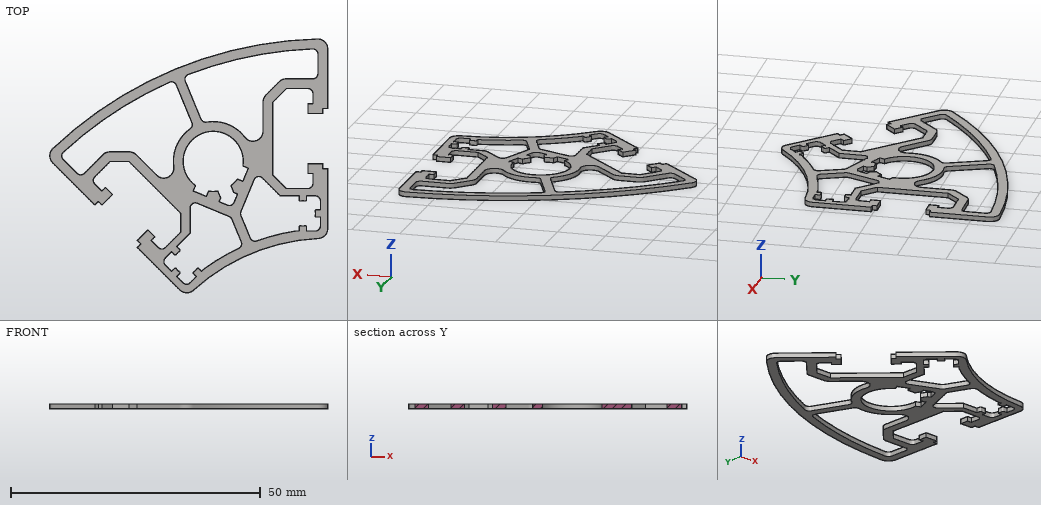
import cadquery as cq
import math


THICKNESS = 1.0

SECTOR_ANGLE = 45.0
INNER_RADIUS = 40.0
OUTER_RADIUS = 80.0
CORNER_RADIUS = 2.0
WALL = 2.0
CHAMBER_FILLET = 1.0
MID_RADIUS = (INNER_RADIUS + OUTER_RADIUS) / 2

SLOT_DEPTH = 11.0
SLOT_HALF_WIDTH = 10.0
SLOT_CHAMFER = 2.7
SLOT_CORNER_FILLET = 1.0
LIP_INNER_DEPTH = 4.0
LIP_ROOT_DEPTH = 3.0
LIP_ROOT_HALF_WIDTH = 7.0
MOUTH_HALF_WIDTH = 5.0
MOUTH_STEP = 1.0

BORE_RADIUS = 6.0
HUB_RADIUS = BORE_RADIUS + WALL
HUB_RELIEF_RADIUS = 2.0
GROOVE_HALF_WIDTH = 1.4
GROOVE_REACH = 7.0
POCKET_SIDE = 2 * GROOVE_HALF_WIDTH
POCKET_FILLET = 1.0

SPOKE_HALF_WIDTH = 1.0

SLOT_WALL_BEND_RADIUS = 2.0

INNER_CHAMBER_WALL = 1.5
INNER_CHAMBER_DIAGONAL_WALL = 1.93
HUB_TO_INNER_CHAMBER = GROOVE_REACH + WALL
SCREW_CHANNEL_RADIUS = 2.5
RIB_WIDTH = 1.5
RIB_LENGTH = 1.0
RIB_FILLET = 0.25

HALF_ANGLE = math.radians(SECTOR_ANGLE / 2)
AXIS = cq.Vector(-math.sin(HALF_ANGLE), math.cos(HALF_ANGLE))
ACROSS = cq.Vector(math.cos(HALF_ANGLE), math.sin(HALF_ANGLE))
HUB_CENTER = AXIS * MID_RADIUS
APEX = cq.Vector(0, 0, 0)
UP = cq.Vector(0, 0, 1)


def on_axis(distance, offset):
    """Point at a distance along the mirror axis and an offset across it."""
    return AXIS * distance + ACROSS * offset


def half_chord(radius, offset):
    """Half length of the chord that lies at this offset from the circle's centre."""
    return math.sqrt(radius**2 - offset**2)


def arc_middle(center, start, end):
    """Middle of the minor arc between two points of a circle."""
    radius = (start - center).Length
    return center + (start + end - center * 2).normalized() * radius


def fillet_corners(solid, corners, radius):
    """Round the upright edges that stand at the given corner points."""
    for corner in corners:
        edge_middle = (corner.x, corner.y, THICKNESS / 2)
        selector = cq.selectors.NearestToPointSelector(edge_middle)
        solid = solid.edges("|Z").edges(selector).fillet(radius)
    return solid


def with_mirror_image(solid):
    return solid.union(solid.mirror(ACROSS, APEX))


def ring_sector():
    outer_start = cq.Vector(0, OUTER_RADIUS)
    far_face = on_axis(math.cos(HALF_ANGLE), -math.sin(HALF_ANGLE))
    outer_end = far_face * OUTER_RADIUS
    inner_start = far_face * INNER_RADIUS
    inner_end = cq.Vector(0, INNER_RADIUS)
    sector = (
        cq.Workplane()
        .moveTo(outer_start.x, outer_start.y)
        .threePointArc(arc_middle(APEX, outer_start, outer_end), outer_end)
        .lineTo(inner_start.x, inner_start.y)
        .threePointArc(arc_middle(APEX, inner_start, inner_end), inner_end)
        .close()
        .extrude(THICKNESS)
    )
    return sector.edges("|Z").fillet(CORNER_RADIUS)


def t_slot():
    mouth_step_half_width = MOUTH_HALF_WIDTH + MOUTH_STEP
    upper_half = [
        (-SLOT_DEPTH, SLOT_HALF_WIDTH - SLOT_CHAMFER),
        (-SLOT_DEPTH + SLOT_CHAMFER, SLOT_HALF_WIDTH),
        (-LIP_ROOT_DEPTH, SLOT_HALF_WIDTH),
        (-LIP_ROOT_DEPTH, LIP_ROOT_HALF_WIDTH),
        (-LIP_INNER_DEPTH, LIP_ROOT_HALF_WIDTH),
        (-LIP_INNER_DEPTH, MOUTH_HALF_WIDTH),
        (-MOUTH_STEP, MOUTH_HALF_WIDTH),
        (-MOUTH_STEP, mouth_step_half_width),
        (0, mouth_step_half_width),
    ]
    lower_half = [(x, -y) for x, y in reversed(upper_half)]
    slot = (
        cq.Workplane(origin=(0, MID_RADIUS, 0))
        .polyline(upper_half + lower_half)
        .close()
        .extrude(THICKNESS)
    )
    corners = [
        cq.Vector(-LIP_ROOT_DEPTH, MID_RADIUS + side * SLOT_HALF_WIDTH) for side in (1, -1)
    ]
    return fillet_corners(slot, corners, SLOT_CORNER_FILLET)


def outer_chamber():
    arc_radius = OUTER_RADIUS - WALL
    rim_face = cq.Vector(-WALL, half_chord(arc_radius, WALL))
    rim_spoke = on_axis(half_chord(arc_radius, SPOKE_HALF_WIDTH), SPOKE_HALF_WIDTH)
    hub_spoke = on_axis(MID_RADIUS + half_chord(HUB_RADIUS, SPOKE_HALF_WIDTH), SPOKE_HALF_WIDTH)

    back_x = -SLOT_DEPTH - WALL
    relief_x = back_x - HUB_RELIEF_RADIUS
    relief_rise = half_chord(HUB_RADIUS + HUB_RELIEF_RADIUS, relief_x - HUB_CENTER.x)
    relief_center = cq.Vector(relief_x, HUB_CENTER.y + relief_rise)
    relief_start = HUB_CENTER + (relief_center - HUB_CENTER).normalized() * HUB_RADIUS
    relief_end = cq.Vector(back_x, relief_center.y)

    top_y = MID_RADIUS + SLOT_HALF_WIDTH + WALL
    bend = SLOT_CHAMFER + WALL * (2 - math.sqrt(2))
    bend_low = cq.Vector(back_x, top_y - bend)
    bend_high = cq.Vector(back_x + bend, top_y)
    foot = cq.Vector(-WALL, top_y)

    chamber = (
        cq.Workplane()
        .moveTo(rim_face.x, rim_face.y)
        .threePointArc(arc_middle(APEX, rim_face, rim_spoke), rim_spoke)
        .lineTo(hub_spoke.x, hub_spoke.y)
        .threePointArc(arc_middle(HUB_CENTER, hub_spoke, relief_start), relief_start)
        .threePointArc(arc_middle(relief_center, relief_start, relief_end), relief_end)
        .lineTo(bend_low.x, bend_low.y)
        .lineTo(bend_high.x, bend_high.y)
        .lineTo(foot.x, foot.y)
        .close()
        .extrude(THICKNESS)
    )
    chamber = fillet_corners(chamber, [rim_face, rim_spoke, hub_spoke, foot], CHAMBER_FILLET)
    return fillet_corners(chamber, [bend_low, bend_high], SLOT_WALL_BEND_RADIUS)


def screw_rib(center, angle):
    """Rib that points at the screw channel; its tip follows the channel's circle."""
    root = SCREW_CHANNEL_RADIUS + RIB_LENGTH
    rib = cq.Workplane().center(root / 2, 0).rect(root, RIB_WIDTH).extrude(THICKNESS)
    rib = rib.cut(cq.Workplane().circle(SCREW_CHANNEL_RADIUS).extrude(THICKNESS))
    rib = rib.edges("|Z and <X").fillet(RIB_FILLET)
    return rib.rotate(APEX, UP, angle).translate(center)


def inner_chamber():
    arc_radius = INNER_RADIUS + WALL
    face_x = -INNER_CHAMBER_WALL
    bottom_y = INNER_RADIUS + INNER_CHAMBER_WALL
    top_y = MID_RADIUS - SLOT_HALF_WIDTH - INNER_CHAMBER_WALL

    chamfer_sum = MID_RADIUS - SLOT_HALF_WIDTH - SLOT_DEPTH + SLOT_CHAMFER
    diagonal_sum = chamfer_sum - INNER_CHAMBER_DIAGONAL_WALL * math.sqrt(2)
    diagonal_end = cq.Vector(diagonal_sum - top_y, top_y)

    hub_corner = MID_RADIUS - HUB_TO_INNER_CHAMBER * math.sqrt(2)
    hub_spoke = on_axis(hub_corner + SPOKE_HALF_WIDTH, SPOKE_HALF_WIDTH)
    hub_side = (AXIS + ACROSS).normalized()
    run = (diagonal_sum - hub_spoke.x - hub_spoke.y) / (hub_side.x + hub_side.y)
    hub_diagonal = hub_spoke + hub_side * run

    rim_spoke = on_axis(half_chord(arc_radius, SPOKE_HALF_WIDTH), SPOKE_HALF_WIDTH)
    rim_flat = cq.Vector(-half_chord(arc_radius, bottom_y), bottom_y)
    face_low = cq.Vector(face_x, bottom_y)
    face_high = cq.Vector(face_x, top_y)

    chamber = (
        cq.Workplane()
        .moveTo(face_high.x, face_high.y)
        .lineTo(diagonal_end.x, diagonal_end.y)
        .lineTo(hub_diagonal.x, hub_diagonal.y)
        .lineTo(hub_spoke.x, hub_spoke.y)
        .lineTo(rim_spoke.x, rim_spoke.y)
        .threePointArc(arc_middle(APEX, rim_spoke, rim_flat), rim_flat)
        .lineTo(face_low.x, face_low.y)
        .close()
        .extrude(THICKNESS)
    )
    rounded = [face_high, hub_diagonal, hub_spoke, rim_spoke, face_low]
    chamber = fillet_corners(chamber, rounded, CHAMBER_FILLET)

    screw_center = cq.Vector(face_x - SCREW_CHANNEL_RADIUS - RIB_LENGTH, (bottom_y + top_y) / 2)
    for angle in (-90, 0, 90):
        chamber = chamber.cut(screw_rib(screw_center, angle))
    return chamber


def bore():
    """Bore, two grooves and a corner pocket, built with the mirror axis along (1, -1), then turned."""
    hole = cq.Workplane().circle(BORE_RADIUS).extrude(THICKNESS)
    groove = (
        cq.Workplane()
        .center(GROOVE_REACH / 2, 0)
        .rect(GROOVE_REACH, 2 * GROOVE_HALF_WIDTH)
        .extrude(THICKNESS)
    )
    pocket_middle = GROOVE_REACH - POCKET_SIDE / 2
    pocket = (
        cq.Workplane()
        .center(pocket_middle, -pocket_middle)
        .rect(POCKET_SIDE, POCKET_SIDE)
        .extrude(THICKNESS)
    )
    pocket = fillet_corners(pocket, [cq.Vector(GROOVE_REACH, -GROOVE_REACH)], POCKET_FILLET)
    channel_length = pocket_middle * math.sqrt(2)
    channel = (
        cq.Workplane()
        .center(channel_length / 2, 0)
        .rect(channel_length, 2 * GROOVE_HALF_WIDTH)
        .extrude(THICKNESS)
    )
    for angle, cutter in ((0, groove), (-90, groove), (-45, channel), (0, pocket)):
        hole = hole.union(cutter.rotate(APEX, UP, angle))
    return hole.rotate(APEX, UP, -SECTOR_ANGLE / 2).translate(HUB_CENTER)


result = ring_sector()
for cavity in (t_slot(), outer_chamber(), inner_chamber()):
    result = result.cut(with_mirror_image(cavity))
result = result.cut(bore())